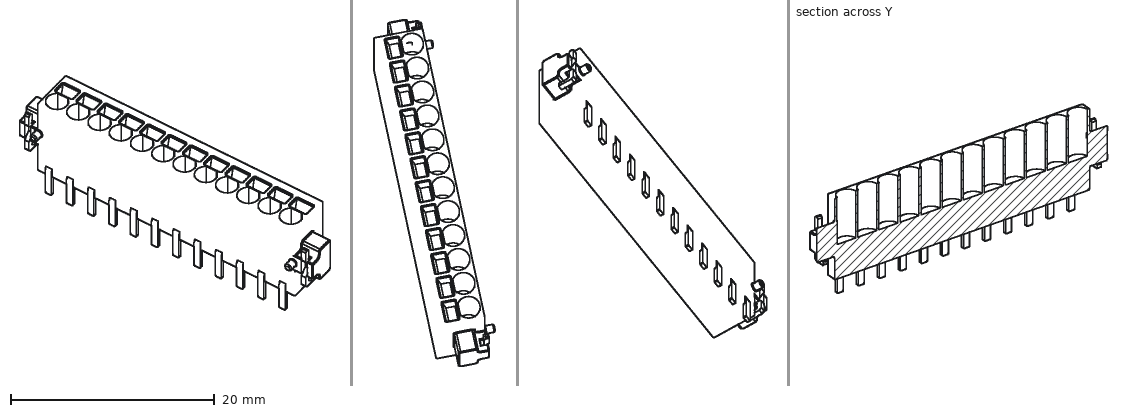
import cadquery as cq
import math

housing_length = 30.88
housing_depth = 4.92
housing_height = 9.2
housing_fillet = 0.18

contact_count = 12
contact_span = 28.0
contact_pitch = contact_span / (contact_count - 1)
contact_positions = [-contact_span / 2 + i * contact_pitch for i in range(contact_count)]

entry_diameter = 2.25
entry_center_y = 1.37
entry_depth = 5.28
entry_flat_y = 2.32
slot_width = 2.18
slot_front_y = 2.43
slot_back_y = 3.95
slot_floor_back_y = 3.45
slot_depth = 1.75
slot_corner_radius = 0.2
slot_rim_chamfer = 0.1
slot_rim_depth = 0.15

pin_width = 0.75
pin_back_y = 0.2
pin_front_y = -0.15
pin_bottom_z = -2.32
pin_shoulder_z = 0.77
pin_top_z = 1.2
pin_tip_chamfer = 0.07
pin_bend_radius = 0.7

overall_length = 35.17
block_center_z = 4.6
block_height = 4.15
block_front_y = 1.13
block_back_y = 3.1
block_edge_chamfer = 0.2
stem_height = 2.1
stem_front_chamfer = 0.1
stem_fillet = 0.42
block_end_chamfer = 0.1
block_root_length = 0.1
block_root_growth = 0.1
stem_root_depth = 0.35

clip_center_x = 16.55
clip_width = 0.53
clip_front_y = pin_front_y
clip_thickness = 0.53
clip_top_z = 7.1
clip_bottom_z = 2.1
clip_foot_back_y = 1.62
clip_foot_thickness = 0.42
clip_bend_radius = 0.4
clip_valley_y = 0.55
clip_valley_height = 0.75
clip_tip_chamfer = 0.18
clip_foot_chamfer = 0.25
clip_slot_width = 0.75
clip_slot_depth = 0.77

peg_diameter = 0.8
peg_length = 1.0
peg_embed = 0.35
peg_chamfer = 0.15
peg_collar_diameter = 0.9
peg_collar_length = 0.1
peg_center_x = 15.23
left_peg_z = 5.25
right_peg_z = 4.65

block_bottom_z = block_center_z - block_height / 2
stem_top_z = block_center_z + stem_height / 2
stem_bottom_z = block_center_z - stem_height / 2


def box(x_range, y_range, z_range):
    """Axis-aligned box between the given limits."""
    size = [high - low for low, high in (x_range, y_range, z_range)]
    corner = (x_range[0], y_range[0], z_range[0])
    return cq.Workplane("XY").box(*size, centered=False).translate(corner)


def extrude_along_x(outline, center_x, width):
    """Extrude a closed YZ outline symmetrically about center_x."""
    return outline.extrude(width / 2, both=True).translate((center_x, 0, 0))


def make_housing():
    """Rounded rectangular housing body."""
    half_length = housing_length / 2
    body = box((-half_length, half_length), (0, housing_depth), (0, housing_height))
    return body.edges().fillet(housing_fillet)


def make_entry(x):
    """Round bore cut off flat beside the release slot."""
    radius = entry_diameter / 2
    floor_z = housing_height - entry_depth
    bore = cq.Workplane("XY", origin=(x, entry_center_y, floor_z)).circle(radius).extrude(entry_depth)
    kept = box(
        (x - radius, x + radius),
        (entry_center_y - radius, entry_flat_y),
        (floor_z, housing_height),
    )
    return bore.intersect(kept)


def make_release_slot(x):
    """Rectangular slot whose back wall slopes forward on the way down."""
    floor_z = housing_height - slot_depth
    well_width = slot_width - 2 * slot_rim_chamfer
    well_back_y = slot_back_y - slot_rim_chamfer
    well = (
        box(
            (x - well_width / 2, x + well_width / 2),
            (slot_front_y + slot_rim_chamfer, well_back_y),
            (floor_z, housing_height),
        )
        .edges("|Z")
        .fillet(slot_corner_radius - slot_rim_chamfer)
    )
    ramp = extrude_along_x(
        cq.Workplane("YZ").polyline([
            (well_back_y, housing_height),
            (slot_floor_back_y, floor_z),
            (well_back_y, floor_z),
        ]).close(),
        x,
        well_width,
    )
    rim = (
        box(
            (x - slot_width / 2, x + slot_width / 2),
            (slot_front_y, slot_back_y),
            (housing_height - slot_rim_depth, housing_height),
        )
        .edges("|Z")
        .fillet(slot_corner_radius)
        .faces("<Z")
        .chamfer(slot_rim_chamfer)
    )
    return well.cut(ramp).union(rim)


def make_pin(x):
    """Vertical pin that bends back into the housing at its top."""
    outline = (
        cq.Workplane("YZ")
        .moveTo(pin_back_y, pin_bottom_z)
        .lineTo(pin_front_y, pin_bottom_z)
        .lineTo(pin_front_y, pin_shoulder_z)
        .radiusArc((0, pin_top_z), pin_bend_radius)
        .lineTo(pin_back_y, pin_top_z)
        .close()
    )
    pin = extrude_along_x(outline, x, pin_width)
    return pin.faces("<Z").edges("|Y").chamfer(pin_tip_chamfer)


def block_lower_half():
    """YZ outline of the lower half of an end block."""
    return (
        cq.Workplane("YZ")
        .moveTo(0, stem_bottom_z + stem_front_chamfer)
        .lineTo(stem_front_chamfer, stem_bottom_z)
        .lineTo(block_front_y - stem_fillet, stem_bottom_z)
        .radiusArc((block_front_y, stem_bottom_z - stem_fillet), stem_fillet)
        .lineTo(block_front_y, block_bottom_z + block_edge_chamfer)
        .lineTo(block_front_y + block_edge_chamfer, block_bottom_z)
        .lineTo(block_back_y - block_edge_chamfer, block_bottom_z)
        .lineTo(block_back_y, block_bottom_z + block_edge_chamfer)
        .lineTo(block_back_y, block_center_z)
        .lineTo(0, block_center_z)
        .close()
    )


def make_end_block(side):
    """T-shaped block with a flared root; its stem stays flush with the housing front."""
    housing_end_x = housing_length / 2
    inner_x = housing_end_x - stem_root_depth
    lower_half = block_lower_half().extrude(overall_length / 2 - inner_x).translate((inner_x, 0, 0))
    block = lower_half.union(lower_half.mirror("XY", (0, 0, block_center_z)))
    flare_angle = math.degrees(math.atan2(block_root_growth, block_root_length))
    root_outline = block.faces("<X").wires().toPending().offset2D(block_root_growth, "intersection")
    flare = (
        cq.Workplane("YZ")
        .newObject(root_outline.vals())
        .toPending()
        .extrude(block_root_length, taper=flare_angle)
        .translate((housing_end_x - inner_x, 0, 0))
    )
    in_front = box((0, overall_length), (-block_root_growth, 0), (0, housing_height))
    block = block.faces(">X").chamfer(block_end_chamfer)
    block = block.union(flare.cut(in_front))
    return block if side > 0 else block.mirror("YZ")


def make_clip_slot(side):
    """Recess in the stem that takes the bent middle of the clip."""
    x = side * clip_center_x
    return box(
        (x - clip_slot_width / 2, x + clip_slot_width / 2),
        (0, clip_slot_depth),
        (stem_bottom_z, stem_top_z),
    )


def make_clip(side):
    """Bent strip with a finger on top, a valley at mid-height and a foot below."""
    back_y = clip_front_y + clip_thickness
    foot_top_z = clip_bottom_z + clip_foot_thickness
    valley_back_y = clip_valley_y + clip_thickness
    outline = (
        cq.Workplane("YZ")
        .moveTo(clip_front_y + clip_foot_chamfer, clip_bottom_z)
        .lineTo(clip_front_y, clip_bottom_z + clip_foot_chamfer)
        .lineTo(clip_front_y, stem_bottom_z)
        .lineTo(clip_valley_y, block_center_z - clip_valley_height / 2)
        .lineTo(clip_valley_y, block_center_z + clip_valley_height / 2)
        .lineTo(clip_front_y, stem_top_z)
        .lineTo(clip_front_y, clip_top_z - clip_tip_chamfer)
        .lineTo(clip_front_y + clip_tip_chamfer, clip_top_z)
        .lineTo(back_y - clip_tip_chamfer, clip_top_z)
        .lineTo(back_y, clip_top_z - clip_tip_chamfer)
        .lineTo(back_y, stem_top_z)
        .lineTo(valley_back_y, block_center_z + clip_valley_height / 2)
        .lineTo(valley_back_y, block_center_z - clip_valley_height / 2)
        .lineTo(back_y, stem_bottom_z)
        .lineTo(back_y, foot_top_z + clip_bend_radius)
        .radiusArc((back_y + clip_bend_radius, foot_top_z), -clip_bend_radius)
        .lineTo(clip_foot_back_y, foot_top_z)
        .lineTo(clip_foot_back_y, clip_bottom_z)
        .close()
    )
    return extrude_along_x(outline, side * clip_center_x, clip_width)


def make_peg(x, z):
    """Chamfered peg pointing to -Y with a short collar at its root."""
    root = cq.Workplane("XZ", origin=(x, peg_embed, z))
    collar = root.circle(peg_collar_diameter / 2).extrude(peg_embed + peg_collar_length)
    shank = root.circle(peg_diameter / 2).extrude(peg_embed + peg_length)
    return shank.faces("<Y").chamfer(peg_chamfer).union(collar)


result = make_housing()
for x in contact_positions:
    result = result.cut(make_entry(x)).cut(make_release_slot(x)).union(make_pin(x))
for side, peg_z in ((-1, left_peg_z), (1, right_peg_z)):
    result = result.union(make_end_block(side)).cut(make_clip_slot(side)).union(make_clip(side))
    result = result.union(make_peg(side * peg_center_x, peg_z))